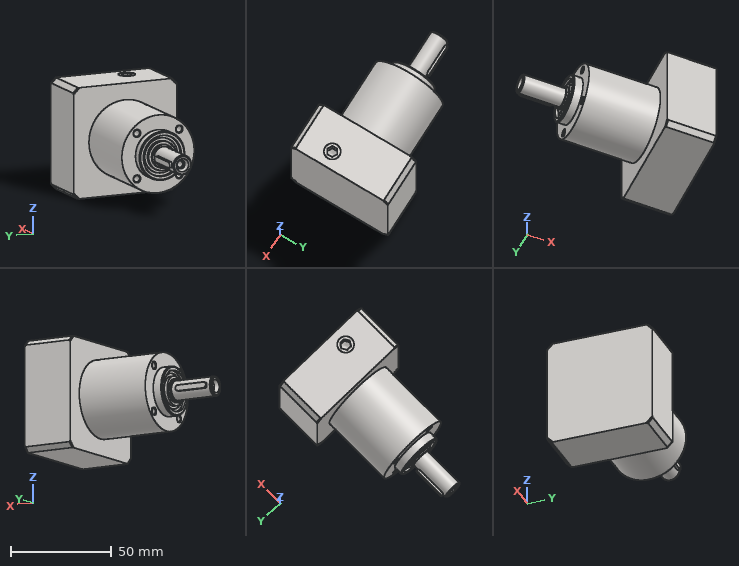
import cadquery as cq
import math


BLOCK_SIDE = 57.0
BLOCK_LENGTH = 27.0
BLOCK_CORNER = 2.6
CORNER_EDGE_CHAMFER = 0.5

COLLAR_X = 23.0
PILOT_X = 24.0
BODY_X = 29.0
BLOCK_X = 68.0

SHAFT_DIA = 10.0
COLLAR_DIA = 12.0
GROOVE_INNER_DIA = 15.0
GROOVE_STEP_DIA = 18.0
GROOVE_OUTER_DIA = 21.0
PILOT_DIA = 25.0
BODY_DIA = 40.0
SHAFT_CHAMFER = 0.5
PILOT_CHAMFER = 0.5
GROOVE_DEPTH = 1.5
GROOVE_STEP_DEPTH = 0.1

THREAD_DIA = 4.0
CORE_DIA = 3.3
DRILL_TIP_ANGLE = 118.0
MOUNT_CIRCLE_DIA = 33.0
MOUNT_COUNT = 4
MOUNT_DEPTH = 10.0

CENTRE_MOUTH_DIA = 6.7
CENTRE_CONE_ANGLE = 60.0
CENTRE_RELIEF_DIA = 4.3
CENTRE_RELIEF_DEPTH = 3.2
CENTRE_DEPTH = 14.0

KEY_WIDTH = 3.0
KEY_LENGTH = 18.0
KEY_START_X = 2.0
KEY_TOP_Y = 6.2

SCREW_X = 86.5
SCREW_Y = -9.5
SCREW_HEAD_DIA = 8.4
SCREW_HEAD_RECESS = 0.1
SOCKET_SIDES = 6
SOCKET_ACROSS_FLATS = 5.0
SOCKET_DEPTH = 4.0


def cone_height(base_dia, tip_dia, included_angle):
    """Axial length of a cone between two diameters."""
    return (base_dia - tip_dia) / 2 / math.tan(math.radians(included_angle / 2))


def revolve_about_x(points):
    """Solid of revolution about X from a list of (x, radius) points."""
    return cq.Workplane("XY").polyline(points).close().revolve(360, (0, 0, 0), (1, 0, 0))


def make_turned_body():
    """Shaft, collar, grooved pilot and round body as one turned profile."""
    shaft_r = SHAFT_DIA / 2
    pilot_r = PILOT_DIA / 2
    groove_floor_x = PILOT_X + GROOVE_DEPTH
    step_floor_x = groove_floor_x + GROOVE_STEP_DEPTH
    return revolve_about_x([
        (0, 0),
        (0, shaft_r - SHAFT_CHAMFER),
        (SHAFT_CHAMFER, shaft_r),
        (COLLAR_X, shaft_r),
        (COLLAR_X, COLLAR_DIA / 2),
        (PILOT_X, COLLAR_DIA / 2),
        (PILOT_X, GROOVE_INNER_DIA / 2),
        (step_floor_x, GROOVE_INNER_DIA / 2),
        (step_floor_x, GROOVE_STEP_DIA / 2),
        (groove_floor_x, GROOVE_STEP_DIA / 2),
        (groove_floor_x, GROOVE_OUTER_DIA / 2),
        (PILOT_X, GROOVE_OUTER_DIA / 2),
        (PILOT_X, pilot_r - PILOT_CHAMFER),
        (PILOT_X + PILOT_CHAMFER, pilot_r),
        (BODY_X, pilot_r),
        (BODY_X, BODY_DIA / 2),
        (BLOCK_X, BODY_DIA / 2),
        (BLOCK_X, 0),
    ])


def make_block():
    """Square block with bevelled corners, the ends of each bevel chamfered."""
    return (
        cq.Workplane("YZ", origin=(BLOCK_X, 0, 0))
        .rect(BLOCK_SIDE, BLOCK_SIDE)
        .extrude(BLOCK_LENGTH)
        .edges("|X")
        .chamfer(BLOCK_CORNER)
        .edges("(not |X) and (not |Y) and (not |Z)")
        .chamfer(CORNER_EDGE_CHAMFER)
    )


def make_key():
    return (
        cq.Workplane("XZ", origin=(KEY_START_X + KEY_LENGTH / 2, 0, 0))
        .slot2D(KEY_LENGTH, KEY_WIDTH)
        .extrude(-KEY_TOP_Y)
    )


def make_centre_hole():
    cone_end_x = cone_height(CENTRE_MOUTH_DIA, CENTRE_RELIEF_DIA, CENTRE_CONE_ANGLE)
    tip_x = CENTRE_DEPTH + cone_height(CORE_DIA, 0, DRILL_TIP_ANGLE)
    return revolve_about_x([
        (0, 0),
        (0, CENTRE_MOUTH_DIA / 2),
        (cone_end_x, CENTRE_RELIEF_DIA / 2),
        (CENTRE_RELIEF_DEPTH, CENTRE_RELIEF_DIA / 2),
        (CENTRE_RELIEF_DEPTH, CORE_DIA / 2),
        (CENTRE_DEPTH, CORE_DIA / 2),
        (tip_x, 0),
    ])


def make_mount_holes():
    countersink_depth = (THREAD_DIA - CORE_DIA) / 2
    hole = revolve_about_x([
        (0, 0),
        (0, THREAD_DIA / 2),
        (countersink_depth, CORE_DIA / 2),
        (MOUNT_DEPTH, CORE_DIA / 2),
        (MOUNT_DEPTH + cone_height(CORE_DIA, 0, DRILL_TIP_ANGLE), 0),
    ])
    first_hole = hole.translate((BODY_X, MOUNT_CIRCLE_DIA / 2, 0))
    pitch_angle = 360 / MOUNT_COUNT
    return [
        first_hole.rotate((0, 0, 0), (1, 0, 0), (index + 0.5) * pitch_angle)
        for index in range(MOUNT_COUNT)
    ]


def make_screw_socket():
    """Shallow screw-head recess with a cone-bottomed hexagon socket."""
    half_side_angle = 180 / SOCKET_SIDES
    across_corners = SOCKET_ACROSS_FLATS / math.cos(math.radians(half_side_angle))
    tip_height = cone_height(across_corners, 0, DRILL_TIP_ANGLE)
    total_depth = SOCKET_DEPTH + tip_height
    recess = cq.Workplane("XY").circle(SCREW_HEAD_DIA / 2).extrude(-SCREW_HEAD_RECESS)
    hexagon = (
        cq.Workplane("XY")
        .polygon(SOCKET_SIDES, across_corners)
        .extrude(-total_depth)
        .rotate((0, 0, 0), (0, 0, 1), half_side_angle)
    )
    drill = (
        cq.Workplane("XZ")
        .polyline([
            (0, 0),
            (across_corners / 2, 0),
            (across_corners / 2, -SOCKET_DEPTH),
            (0, -total_depth),
        ])
        .close()
        .revolve(360, (0, 0, 0), (0, 1, 0))
    )
    socket = recess.union(hexagon.intersect(drill))
    return socket.translate((SCREW_X, SCREW_Y, BLOCK_SIDE / 2))


result = (
    make_turned_body()
    .union(make_block())
    .union(make_key())
    .cut(make_centre_hole())
    .cut(make_screw_socket())
)
for mount_hole in make_mount_holes():
    result = result.cut(mount_hole)